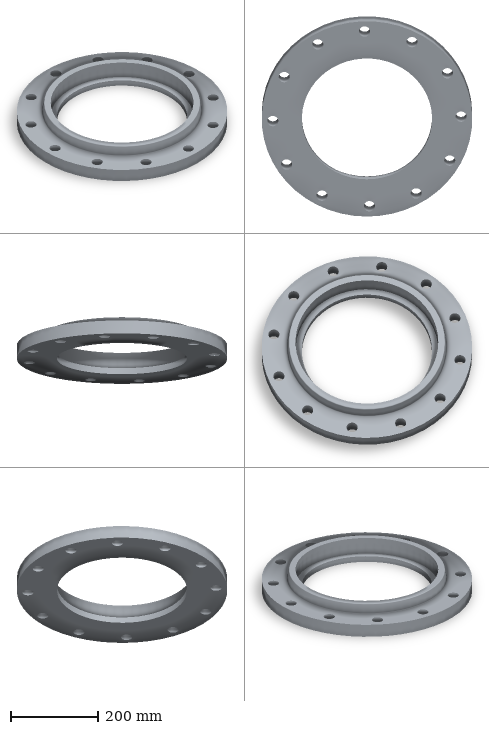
import cadquery as cq

flange_diameter = 482.6
flange_thickness = 30.5
overall_height = 53.85

hub_base_diameter = 365.8
hub_taper_angle = 10.0
hub_top_radius = 2.0
hub_root_radius = 1.5
hub_height = overall_height - flange_thickness

bore_diameter = 298.5
socket_diameter = 327.2
socket_floor_height = 14.3

bolt_count = 12
bolt_circle_diameter = 431.8
bolt_hole_diameter = 25.4


def make_disc(diameter, bottom, height, taper=0.0):
    """Disc centred on the flange axis, narrowing upward by the taper angle."""
    base = cq.Workplane("XY", origin=(0, 0, bottom)).circle(diameter / 2)
    return base.extrude(height, taper=taper)


def make_body():
    """Plate and tapered hub, with the hub's top edge and root rounded."""
    plate = make_disc(flange_diameter, 0, flange_thickness)
    hub = make_disc(hub_base_diameter, flange_thickness, hub_height, hub_taper_angle)
    hub = hub.faces(">Z").edges().fillet(hub_top_radius)
    hub_root = cq.selectors.RadiusNthSelector(-2)
    return plate.union(hub).edges(hub_root).fillet(hub_root_radius)


def cut_stepped_bore(body):
    bore = make_disc(bore_diameter, 0, overall_height)
    socket = make_disc(socket_diameter, socket_floor_height, overall_height - socket_floor_height)
    return body.cut(bore).cut(socket)


def cut_bolt_holes(body):
    """Through holes evenly spaced on the bolt circle, starting on the +X axis."""
    holes = (
        cq.Workplane("XY")
        .polarArray(bolt_circle_diameter / 2, 0, 360, bolt_count)
        .circle(bolt_hole_diameter / 2)
        .extrude(flange_thickness)
    )
    return body.cut(holes)


result = cut_bolt_holes(cut_stepped_bore(make_body()))